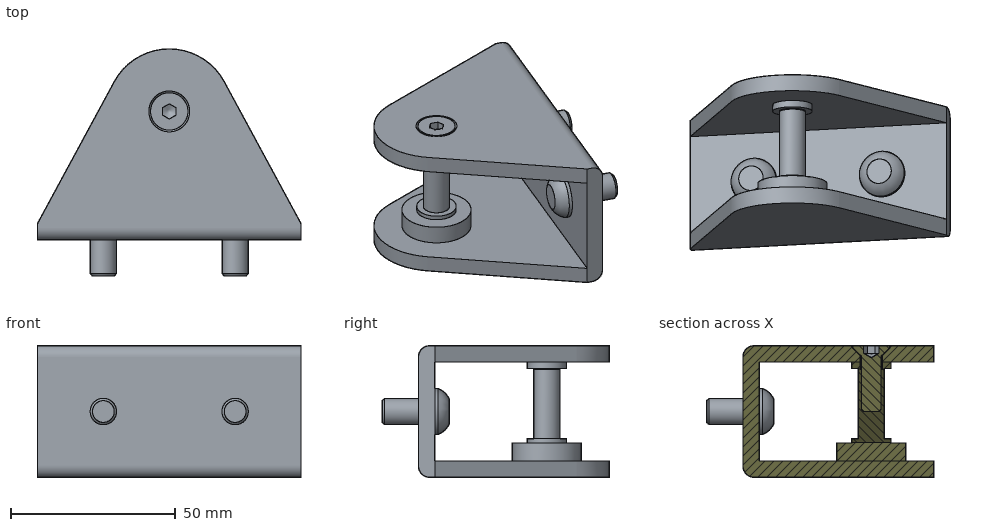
import cadquery as cq
import math

WIDTH = 80.0
HEIGHT = 40.0
PLATE = 5.0
BEND_RADIUS = 3.5
NOSE_RADIUS = 19.0
PIVOT_Y = 39.0
FLANGE_TIP_Y = PIVOT_Y + NOSE_RADIUS

BUTTON_SPACING = 40.0
BUTTON_DIAMETER = 8.0
BUTTON_LENGTH = 16.0
BUTTON_TIP_DIAMETER = 6.6
BUTTON_TIP_LENGTH = 0.8
BUTTON_HEAD_DIAMETER = 14.0
BUTTON_HEAD_HEIGHT = 4.4
BUTTON_HEAD_RIM = 1.0
BUTTON_HEAD_FLAT = 7.6
BUTTON_DOME_BULGE = 0.5

CSK_DIAMETER = 6.0
CSK_LENGTH = 20.0
CSK_HEAD_DIAMETER = 11.34
CSK_TIP_DIAMETER = 4.92
CSK_CLEARANCE = 6.6
COUNTERSINK_DIAMETER = 12.4
HEX_ACROSS_FLATS = 4.0
HEX_DEPTH = 2.3
HEX_POINT_ANGLE = 120.0

DISC_DIAMETER = 21.0
DISC_HEIGHT = 5.5
SPINDLE_DIAMETER = 8.0
COLLAR_DIAMETER = 12.0
LOWER_COLLAR_HEIGHT = 1.25
UPPER_COLLAR_HEIGHT = 2.0
COLLAR_STEP_HEIGHT = 0.25

DISC_BASE_Z = PLATE
SPINDLE_BASE_Z = DISC_BASE_Z + DISC_HEIGHT
UPPER_COLLAR_TOP_Z = HEIGHT - PLATE
UPPER_COLLAR_BASE_Z = UPPER_COLLAR_TOP_Z - UPPER_COLLAR_HEIGHT
SPINDLE_TOP_Z = UPPER_COLLAR_BASE_Z - COLLAR_STEP_HEIGHT


def pivot_cylinder(diameter, base_z, top_z):
    """Cylinder on the pivot axis."""
    return (
        cq.Workplane("XY", origin=(0, PIVOT_Y, base_z))
        .circle(diameter / 2)
        .extrude(top_z - base_z)
    )


def pivot_revolve(profile):
    """Turn a closed (radius, Z) profile about the pivot axis."""
    return (
        cq.Workplane("XZ", origin=(0, PIVOT_Y, 0))
        .polyline(profile)
        .close()
        .revolve(360, (0, 0, 0), (0, 1, 0))
    )


def button_positions():
    return [-BUTTON_SPACING / 2, BUTTON_SPACING / 2]


def make_bracket():
    corner_x = WIDTH / 2
    corner_to_pivot = math.hypot(corner_x, PIVOT_Y - PLATE)
    corner_angle = math.atan2(PIVOT_Y - PLATE, corner_x)
    tangent_angle = math.acos(NOSE_RADIUS / corner_to_pivot) - corner_angle
    tangent_x = NOSE_RADIUS * math.cos(tangent_angle)
    tangent_y = PIVOT_Y + NOSE_RADIUS * math.sin(tangent_angle)
    outline = (
        cq.Workplane("XY")
        .moveTo(-corner_x, 0)
        .lineTo(corner_x, 0)
        .lineTo(corner_x, PLATE)
        .lineTo(tangent_x, tangent_y)
        .threePointArc((0, FLANGE_TIP_Y), (-tangent_x, tangent_y))
        .lineTo(-corner_x, PLATE)
        .close()
        .extrude(HEIGHT)
    )
    channel_gap = (
        cq.Workplane("XY", origin=(0, PLATE, PLATE))
        .box(WIDTH, FLANGE_TIP_Y, HEIGHT - 2 * PLATE, centered=(True, False, False))
    )
    bracket = outline.cut(channel_gap).edges("|X and <Y").fillet(BEND_RADIUS)

    for x in button_positions():
        hole = (
            cq.Workplane("XZ", origin=(x, 0, HEIGHT / 2))
            .circle(BUTTON_DIAMETER / 2)
            .extrude(-PLATE)
        )
        bracket = bracket.cut(hole)

    clearance_radius = CSK_CLEARANCE / 2
    countersink_radius = COUNTERSINK_DIAMETER / 2
    countersunk_hole = pivot_revolve([
        (0, HEIGHT),
        (countersink_radius, HEIGHT),
        (clearance_radius, HEIGHT - (countersink_radius - clearance_radius)),
        (clearance_radius, HEIGHT - PLATE),
        (0, HEIGHT - PLATE),
    ])
    return bracket.cut(countersunk_hole)


def make_button_screw(x):
    """Screw along Y, its head seated on the inner face of the back wall."""
    shank_radius = BUTTON_DIAMETER / 2
    head_radius = BUTTON_HEAD_DIAMETER / 2
    flat_radius = BUTTON_HEAD_FLAT / 2
    tip_y = PLATE - BUTTON_LENGTH
    rim_y = PLATE + BUTTON_HEAD_RIM
    head_top_y = PLATE + BUTTON_HEAD_HEIGHT
    return (
        cq.Workplane("XY", origin=(x, 0, HEIGHT / 2))
        .moveTo(0, tip_y)
        .lineTo(BUTTON_TIP_DIAMETER / 2, tip_y)
        .lineTo(shank_radius, tip_y + BUTTON_TIP_LENGTH)
        .lineTo(shank_radius, PLATE)
        .lineTo(head_radius, PLATE)
        .lineTo(head_radius, rim_y)
        .sagittaArc((flat_radius, head_top_y), -BUTTON_DOME_BULGE)
        .lineTo(0, head_top_y)
        .close()
        .revolve(360, (0, 0, 0), (0, 1, 0))
    )


def make_countersunk_screw():
    shank_radius = CSK_DIAMETER / 2
    head_radius = CSK_HEAD_DIAMETER / 2
    tip_radius = CSK_TIP_DIAMETER / 2
    tip_z = HEIGHT - CSK_LENGTH
    rim_z = HEIGHT - (COUNTERSINK_DIAMETER - CSK_HEAD_DIAMETER) / 2
    screw = pivot_revolve([
        (0, HEIGHT),
        (head_radius, HEIGHT),
        (head_radius, rim_z),
        (shank_radius, rim_z - (head_radius - shank_radius)),
        (shank_radius, tip_z + shank_radius - tip_radius),
        (tip_radius, tip_z),
        (0, tip_z),
    ])

    hex_corner_radius = HEX_ACROSS_FLATS / math.sqrt(3)
    hex_floor_z = HEIGHT - HEX_DEPTH
    point_depth = hex_corner_radius / math.tan(math.radians(HEX_POINT_ANGLE / 2))
    prism = (
        cq.Workplane("XY", origin=(0, PIVOT_Y, hex_floor_z - point_depth))
        .transformed(rotate=(0, 0, 30))
        .polygon(6, 2 * hex_corner_radius)
        .extrude(HEX_DEPTH + point_depth)
    )
    pointed_bore = pivot_revolve([
        (0, HEIGHT),
        (hex_corner_radius, HEIGHT),
        (hex_corner_radius, hex_floor_z),
        (0, hex_floor_z - point_depth),
    ])
    return screw.cut(prism.intersect(pointed_bore))


def make_upper_collar():
    """Spacer under the top flange, with a short step matching the spindle."""
    collar = pivot_cylinder(COLLAR_DIAMETER, UPPER_COLLAR_BASE_Z, UPPER_COLLAR_TOP_Z)
    step = pivot_cylinder(SPINDLE_DIAMETER, SPINDLE_TOP_Z, UPPER_COLLAR_BASE_Z)
    bore = pivot_cylinder(CSK_CLEARANCE, SPINDLE_TOP_Z, UPPER_COLLAR_TOP_Z)
    return collar.union(step).cut(bore)


def make_spindle(screw):
    """Spindle with a foot collar; the countersunk screw fills its blind hole."""
    shaft = pivot_cylinder(SPINDLE_DIAMETER, SPINDLE_BASE_Z, SPINDLE_TOP_Z)
    collar = pivot_cylinder(COLLAR_DIAMETER, SPINDLE_BASE_Z, SPINDLE_BASE_Z + LOWER_COLLAR_HEIGHT)
    return shaft.union(collar).cut(screw)


def make_disc():
    return pivot_cylinder(DISC_DIAMETER, DISC_BASE_Z, SPINDLE_BASE_Z)


bracket = make_bracket()
button_screws = [make_button_screw(x) for x in button_positions()]
countersunk_screw = make_countersunk_screw()
upper_collar = make_upper_collar()
spindle = make_spindle(countersunk_screw)
disc = make_disc()

result = cq.Compound.makeCompound([
    bracket.val(),
    *[screw.val() for screw in button_screws],
    countersunk_screw.val(),
    upper_collar.val(),
    spindle.val(),
    disc.val(),
])